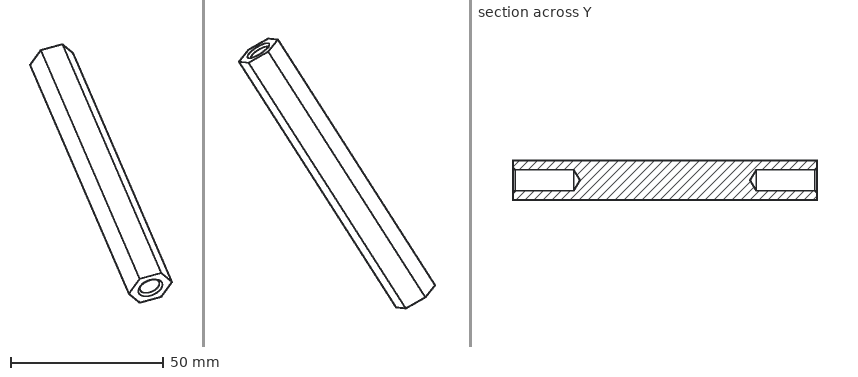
import cadquery as cq
import math

length = 100.0
across_flats = 13.0
across_corners = across_flats / math.cos(math.radians(30))

bore_diameter = 6.8
bore_depth = 20.0
drill_point_angle = 118.0
countersink_diameter = 8.4
countersink_angle = 90.0


def cone_height(radius_change, included_angle):
    """Axial height of a cone whose radius changes by the given amount."""
    return radius_change / math.tan(math.radians(included_angle / 2))


def blind_bore():
    """Cutter for the bore in the -X end: countersink, cylinder and conical drill point."""
    bore_radius = bore_diameter / 2
    countersink_radius = countersink_diameter / 2
    countersink_depth = cone_height(countersink_radius - bore_radius, countersink_angle)
    tip_depth = bore_depth + cone_height(bore_radius, drill_point_angle)
    profile = (
        cq.Workplane("XY")
        .polyline([
            (0, 0),
            (0, countersink_radius),
            (countersink_depth, bore_radius),
            (bore_depth, bore_radius),
            (tip_depth, 0),
        ])
        .close()
    )
    return profile.revolve(360, (0, 0, 0), (1, 0, 0)).translate((-length / 2, 0, 0))


body = cq.Workplane("YZ").polygon(6, across_corners).extrude(length / 2, both=True)

near_bore = blind_bore()
far_bore = near_bore.mirror("YZ")
result = body.cut(near_bore).cut(far_bore)